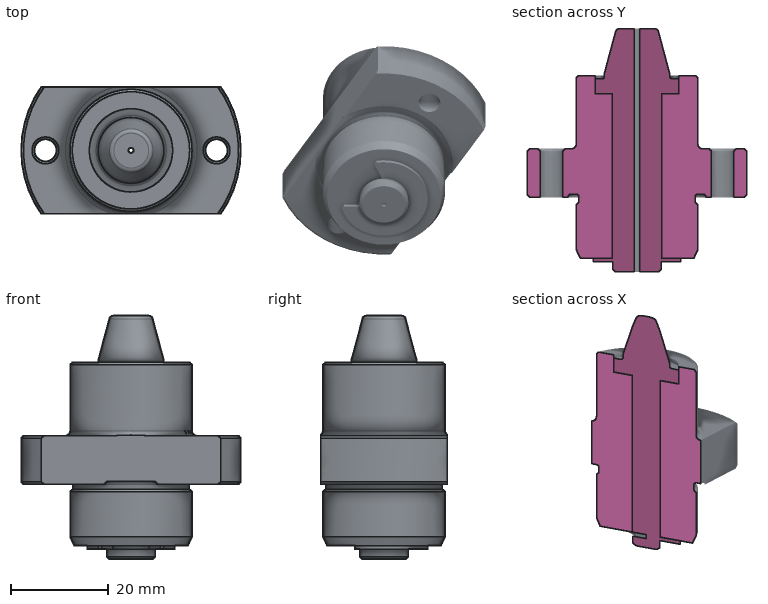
import cadquery as cq
import math

total_height = 49.9
housing_bottom = 2.8
flange_bottom = 15.3
flange_thickness = 10.0
flange_top = flange_bottom + flange_thickness
housing_top = 40.3
edge_chamfer = 0.5

barrel_diameter = 25.0
barrel_radius = barrel_diameter / 2
root_fillet = 1.0
lead_in_height = 1.8
lead_in_width = 0.85
groove_radius = 12.0
groove_bottom = 13.8

flange_radius = 22.5
flange_width = 26.0
undercut_radius = 14.0
undercut_depth = 0.6
undercut_inner_fillet = 0.45
undercut_outer_fillet = 0.35

hole_offset = 17.5
hole_radius = 2.25

nose_radius = 6.75
nose_bottom = 40.65
nose_taper = math.radians(15)
tip_fillet = 0.9
head_radius = 8.55
head_top = 39.6
head_thickness = 3.0
head_bottom = head_top - head_thickness
neck_fillet = 0.45
shank_radius = 5.0
foot_chamfer = 0.55
bore_radius = 0.5

clip_bottom = 2.05
clip_radius = 9.0
clip_neck_radius = 3.75
clip_tip_y = -6.0
mouth_half_width = 5.95
mouth_throat_y = -2.5


def cylinder(radius, bottom, top):
    """Solid cylinder on the Z axis between two heights."""
    return cq.Workplane("XY").workplane(offset=bottom).circle(radius).extrude(top - bottom)


def make_flange():
    """Round flange, chamfered on both rims."""
    return cylinder(flange_radius, flange_bottom, flange_top).edges().chamfer(edge_chamfer)


def make_barrel():
    """Turned barrel with a lead-in, a groove under the flange and a fillet above it."""
    groove_step = barrel_radius - groove_radius
    return (
        cq.Workplane("XZ")
        .moveTo(0, housing_bottom)
        .lineTo(barrel_radius - lead_in_width, housing_bottom)
        .lineTo(barrel_radius, housing_bottom + lead_in_height)
        .lineTo(barrel_radius, groove_bottom)
        .lineTo(groove_radius, groove_bottom + groove_step)
        .lineTo(groove_radius, flange_top)
        .lineTo(barrel_radius + root_fillet, flange_top)
        .radiusArc((barrel_radius, flange_top + root_fillet), root_fillet)
        .lineTo(barrel_radius, housing_top - edge_chamfer)
        .lineTo(barrel_radius - edge_chamfer, housing_top)
        .lineTo(0, housing_top)
        .close()
        .revolve(360, (0, 0, 0), (0, 1, 0))
    )


def make_undercut():
    """Ring recessed into the underside of the flange around the groove."""
    recess_top = flange_bottom + undercut_depth
    return (
        cq.Workplane("XZ")
        .moveTo(groove_radius, flange_bottom)
        .lineTo(undercut_radius, flange_bottom)
        .lineTo(undercut_radius, recess_top - undercut_outer_fillet)
        .radiusArc((undercut_radius - undercut_outer_fillet, recess_top), -undercut_outer_fillet)
        .lineTo(groove_radius + undercut_inner_fillet, recess_top)
        .radiusArc((groove_radius, recess_top - undercut_inner_fillet), -undercut_inner_fillet)
        .close()
        .revolve(360, (0, 0, 0), (0, 1, 0))
    )


def make_mounting_holes():
    """Cutters for the two through holes, each countersunk from above."""
    centers = [(-hole_offset, 0), (hole_offset, 0)]
    top_plane = cq.Workplane("XY").workplane(offset=flange_top).pushPoints(centers)
    holes = top_plane.circle(hole_radius).extrude(-flange_thickness)
    countersinks = top_plane.circle(hole_radius + edge_chamfer).extrude(-edge_chamfer, taper=45)
    return holes.union(countersinks)


def make_housing():
    """Flanged barrel with a stepped bore that holds the pin."""
    between_flats = cq.Workplane("XY").box(2 * flange_radius, flange_width, 2 * total_height)
    body = make_flange().union(make_barrel()).intersect(between_flats)
    body = body.cut(make_undercut()).cut(make_mounting_holes())
    head_seat = cylinder(head_radius, head_bottom, housing_top)
    shank_hole = cylinder(shank_radius, housing_bottom, head_bottom)
    return body.cut(head_seat).cut(shank_hole).solids()


def make_turned_pin():
    """Revolved pin: chamfered foot, clip groove, shank, head and tapered nose, with a bore."""
    tip_radius = nose_radius - (total_height - nose_bottom) * math.tan(nose_taper)
    neck_top = head_top + neck_fillet
    pin = (
        cq.Workplane("XZ")
        .lineTo(shank_radius - foot_chamfer, 0)
        .lineTo(shank_radius, foot_chamfer)
        .lineTo(shank_radius, clip_bottom)
        .lineTo(clip_neck_radius, clip_bottom)
        .lineTo(clip_neck_radius, housing_bottom)
        .lineTo(shank_radius, housing_bottom)
        .lineTo(shank_radius, head_bottom)
        .lineTo(head_radius, head_bottom)
        .lineTo(head_radius, head_top)
        .lineTo(nose_radius + neck_fillet, head_top)
        .radiusArc((nose_radius, neck_top), neck_fillet)
        .lineTo(nose_radius, nose_bottom)
        .lineTo(tip_radius, total_height)
        .lineTo(0, total_height)
        .close()
        .revolve(360, (0, 0, 0), (0, 1, 0))
    )
    pin = pin.faces(">Z").edges().fillet(tip_fillet)
    return pin.cut(cylinder(bore_radius, 0, total_height))


def make_clip():
    """Plate around the pin's neck, cut straight across its tips, with a flared mouth."""
    plate = cylinder(clip_radius, clip_bottom, housing_bottom)
    beyond_tips = (
        cq.Workplane("XY")
        .center(0, clip_tip_y - clip_radius / 2)
        .box(2 * clip_radius, clip_radius, 2 * total_height)
    )
    mouth = (
        cq.Workplane("XY")
        .moveTo(-clip_neck_radius, 0)
        .lineTo(-clip_neck_radius, mouth_throat_y)
        .lineTo(-mouth_half_width, clip_tip_y)
        .lineTo(mouth_half_width, clip_tip_y)
        .lineTo(clip_neck_radius, mouth_throat_y)
        .lineTo(clip_neck_radius, 0)
        .close()
        .extrude(total_height)
    )
    neck = cylinder(clip_neck_radius, clip_bottom, housing_bottom)
    return plate.cut(beyond_tips).cut(mouth).cut(neck)


def make_pin():
    """Pin with its clip as one solid."""
    return make_turned_pin().union(make_clip()).solids()


housing = make_housing()
pin = make_pin()
result = cq.Compound.makeCompound([housing.val(), pin.val()])